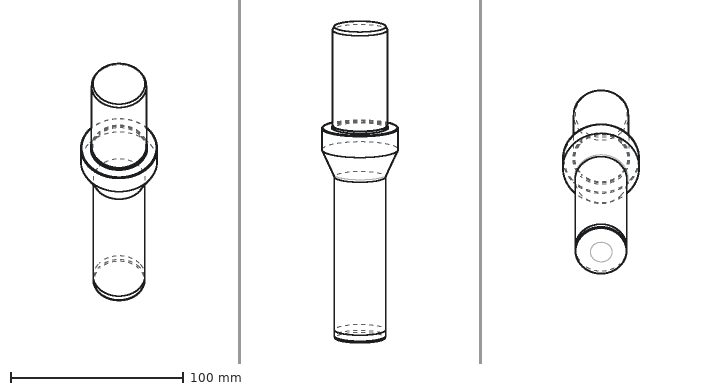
import cadquery as cq

total_length = 185.8
shank_length = 60.0
collar_height = 13.0
cone_height = 14.5
cone_foot_height = 1.7
cutting_height = 5.8

shank_radius = 16.0
shank_chamfer_width = 1.0
shank_chamfer_height = 2.0
undercut_neck_radius = 15.5
undercut_outer_radius = 16.5
undercut_height = 1.3
undercut_shoulder = 0.4
undercut_depth = 0.4

collar_diameter = 44.5
collar_radius = collar_diameter / 2
collar_chamfer = 0.5
cone_end_radius = 15.6

drill_radius = 15.0
tip_corner_width = 0.4
tip_corner_drop = 1.1
tip_corner_height = 2.2
tip_flat_radius = 6.3

collar_top = total_length - shank_length
collar_bottom = collar_top - collar_height
cone_bottom = collar_bottom - cone_height
drill_top = cone_bottom - cone_foot_height
shank_bottom = collar_top + undercut_height


def revolve_profile(points):
    """Turn a closed (radius, height) outline about the Z axis."""
    return cq.Workplane("XZ").polyline(points).close().revolve(360, (0, 0), (0, 1))


def make_holder():
    """Shank, undercut, collar, cone and drill body as one turned solid."""
    drill_and_cone = [
        (0, cutting_height),
        (drill_radius, cutting_height),
        (drill_radius, drill_top),
        (cone_end_radius, cone_bottom),
    ]
    collar = [
        (collar_radius, collar_bottom),
        (collar_radius, collar_top - collar_chamfer),
        (collar_radius - collar_chamfer, collar_top),
    ]
    undercut = [
        (undercut_outer_radius, collar_top),
        (undercut_neck_radius, collar_top - undercut_depth),
        (undercut_neck_radius, shank_bottom - undercut_shoulder),
        (shank_radius, shank_bottom),
    ]
    shank = [
        (shank_radius, total_length - shank_chamfer_height),
        (shank_radius - shank_chamfer_width, total_length),
        (0, total_length),
    ]
    return revolve_profile(drill_and_cone + collar + undercut + shank)


def make_cutting_tip():
    """Short cutting end with a bevelled corner and a shallow conical point."""
    return revolve_profile([
        (0, 0),
        (tip_flat_radius, 0),
        (drill_radius - tip_corner_width, tip_corner_height - tip_corner_drop),
        (drill_radius, tip_corner_height),
        (drill_radius, cutting_height),
        (0, cutting_height),
    ])


holder = make_holder()
cutting_tip = make_cutting_tip()
result = cq.Compound.makeCompound([holder.val(), cutting_tip.val()])